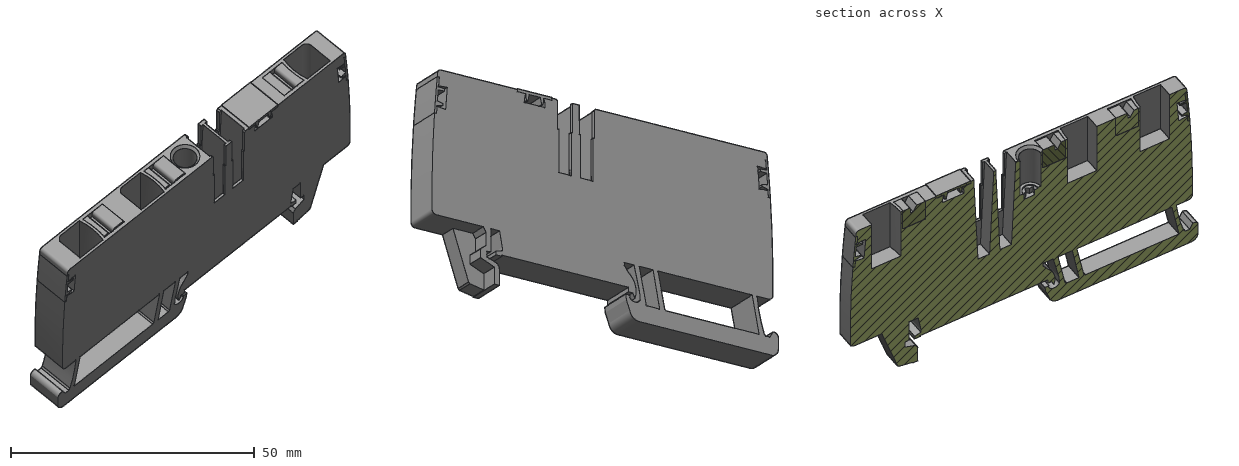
import cadquery as cq
import math


WIDTH = 8.1
HEIGHT = 45.2
MID_Y = 0.7
BLOCK_HALF = 41.4
BLOCK_BOTTOM = 12.4
BLOCK_TOP = 45.0
BULGE_Z = 16.8
END_RADIUS = 272.5
TOP_FILLET = 0.8
BOTTOM_FILLET = 1.0

MARKER_SPAN_TOP = (12.95, 21.3)
MARKER_BASE_Z = 44.5
SIDE_MARKER_Z = (35.1, 43.3)
SIDE_MARKER_THICK = 0.5
LEG_ROOT = SIDE_MARKER_THICK / 2
TOP_LEG = [(2.2, MARKER_BASE_Z), (2.0, 43.0), (1.7, 43.0), (1.35, MARKER_BASE_Z)]
TOP_OPENING_HALF = [(2.2, MARKER_BASE_Z), (2.5, 43.2), (2.5, 42.5)]
SIDE_LEGS = [
    [(41.1, LEG_ROOT), (40.95, 2.0), (40.45, 2.0), (40.4, LEG_ROOT)],
    [(37.9, LEG_ROOT), (37.6, 1.85), (37.2, 1.85), (36.75, LEG_ROOT)],
]
SIDE_OPENING = [(41.3, LEG_ROOT), (41.5, 2.6), (36.4, 2.6), (36.7, LEG_ROOT)]

SLOT_PITCH = 5.3
SLOT_FIRST_Y = 4.45
SLOT_COUNT = 2
SLOT_FLOOR = 28.8
SLOT_STEP_Z = 38.4
SLOT_UPPER = 3.6
SLOT_LOWER = 3.0
SLOT_LEAD_IN = 0.3
JUMPER_FLOOR = 21.9
JUMPER_TOP = 4.7
JUMPER_BOTTOM = 2.7
JUMPER_X = (-3.2, 3.45)

TERMINALS = ((23.9, 1), (-4.5, -1), (-22.1, -1))
LEVER_X = (-3.2, 3.2)
LEVER_GAP = 0.25
LEVER_LENGTH = 5.6
LEVER_DEPTH = 5.05
LEVER_HOLLOW = 0.25
GROOVE_START = 2.1
GROOVE_END = 4.4
GROOVE_FLOOR = 0.5
GROOVE_DEPTH = 1.5
GROOVE_STEP = 0.75
GROOVE_CROWN = 0.21
ENTRY_X = (-3.45, 3.45)
ENTRY_NEAR = 6.4
ENTRY_FAR = 12.95
ENTRY_BULGE = 0.4
ENTRY_DEPTH = 12.6
ENTRY_FILLET = 1.35

SCREW_Y = -1.5
WELL_MOUTH_RADIUS = 3.0
WELL_RADIUS = 2.4
WELL_CHAMFER = 0.6
WELL_DEPTH = 10.1
DRIVE_RIM_RADIUS = 1.8
DRIVE_RIM_DEPTH = 0.25
DRIVE_LOBES = 5
DRIVE_TIP_RADIUS = 1.5
DRIVE_VALLEY_RADIUS = 0.9
DRIVE_DEPTH = 1.7

RAIL_FACE = 7.1
WINDOW_FLOOR = 3.95
WEB_X = (0.0, WIDTH / 2)


def extrude_x(profile, x_range=(-WIDTH / 2, WIDTH / 2)):
    """Extrude a closed YZ profile between two X positions."""
    return profile.extrude(x_range[1] - x_range[0]).translate((x_range[0], 0, 0))


def prism(points, x_range=(-WIDTH / 2, WIDTH / 2)):
    return extrude_x(cq.Workplane("YZ").polyline(points).close(), x_range)


def box(x_range, y_range, z_range):
    size = [high - low for low, high in (x_range, y_range, z_range)]
    return cq.Workplane("XY").box(*size, centered=False).translate((x_range[0], y_range[0], z_range[0]))


def end_half(z):
    """Half length of the block at height z."""
    return BLOCK_HALF - END_RADIUS + math.sqrt(END_RADIUS**2 - (z - BULGE_Z) ** 2)


def end_point(z, side, inset=0.0):
    return (MID_Y + side * (end_half(z) - inset), z)


def top_marker_plate():
    return box((-WIDTH / 2, WIDTH / 2), MARKER_SPAN_TOP, (MARKER_BASE_Z, HEIGHT))


def top_marker():
    middle = sum(MARKER_SPAN_TOP) / 2
    marker = top_marker_plate()
    for side in (-1, 1):
        marker = marker.union(prism([(middle + side * y, z) for y, z in TOP_LEG]))
    return marker


def top_marker_opening():
    middle = sum(MARKER_SPAN_TOP) / 2
    far_side = [(middle + y, z) for y, z in TOP_OPENING_HALF]
    near_side = [(middle - y, z) for y, z in reversed(TOP_OPENING_HALF)]
    return prism(far_side + near_side)


def side_marker_plate(side):
    low, high = SIDE_MARKER_Z
    middle = (low + high) / 2
    return extrude_x(
        cq.Workplane("YZ")
        .moveTo(*end_point(low, side))
        .threePointArc(end_point(middle, side), end_point(high, side))
        .lineTo(*end_point(high, side, SIDE_MARKER_THICK))
        .threePointArc(end_point(middle, side, SIDE_MARKER_THICK), end_point(low, side, SIDE_MARKER_THICK))
        .close()
    )


def side_marker(side):
    marker = side_marker_plate(side)
    for leg in SIDE_LEGS:
        marker = marker.union(prism([end_point(z, side, inset) for z, inset in leg]))
    return marker


def side_marker_opening(side):
    return prism([end_point(z, side, inset) for z, inset in SIDE_OPENING])


def lever_blank(heel, direction):
    """Lever with a plain top and its tip hollowed parallel to the wire entry."""
    tip = heel + direction * LEVER_LENGTH
    left, right = LEVER_X
    return (
        cq.Workplane("XY", origin=(0, 0, BLOCK_TOP - LEVER_DEPTH))
        .moveTo(left, heel)
        .lineTo(right, heel)
        .lineTo(right, tip)
        .threePointArc(((left + right) / 2, tip - direction * LEVER_HOLLOW), (left, tip))
        .close()
        .extrude(LEVER_DEPTH)
    )


def finger_groove(heel, direction):
    """Groove across a lever: a straight wall on its -Y side and a convex, stepped one on its +Y side."""
    middle = heel + direction * (GROOVE_START + GROOVE_END) / 2
    half_mouth = (GROOVE_END - GROOVE_START) / 2
    half_floor = GROOVE_FLOOR / 2
    floor = BLOCK_TOP - GROOVE_DEPTH
    crown_y = middle + (half_mouth + half_floor) / 2 - GROOVE_CROWN
    crown_z = BLOCK_TOP - GROOVE_STEP / 2 + GROOVE_CROWN
    return extrude_x(
        cq.Workplane("YZ")
        .moveTo(middle - half_mouth, BLOCK_TOP)
        .lineTo(middle - half_floor, floor)
        .lineTo(middle + half_floor, floor)
        .lineTo(middle + half_floor, BLOCK_TOP - GROOVE_STEP)
        .threePointArc((crown_y, crown_z), (middle + half_mouth, BLOCK_TOP))
        .close()
    )


def lever(heel, direction):
    body = lever_blank(heel, direction).cut(finger_groove(heel, direction))
    if direction > 0:
        return body
    tip = heel + direction * LEVER_LENGTH
    clearance = box((LEVER_X[1] - LEVER_GAP, LEVER_X[1]), (tip, heel), (BLOCK_TOP - LEVER_DEPTH, BLOCK_TOP))
    return body.cut(clearance)


def wire_entry(heel, direction):
    near = heel + direction * ENTRY_NEAR
    far = heel + direction * ENTRY_FAR
    left, right = ENTRY_X
    pocket = (
        cq.Workplane("XY", origin=(0, 0, BLOCK_TOP - ENTRY_DEPTH))
        .moveTo(left, far)
        .lineTo(right, far)
        .lineTo(right, near)
        .threePointArc(((left + right) / 2, near - direction * ENTRY_BULGE), (left, near))
        .close()
        .extrude(ENTRY_DEPTH)
    )
    far_left = "<X and >Y" if direction > 0 else "<X and <Y"
    return pocket.edges("|Z").edges(far_left).fillet(ENTRY_FILLET)


def block():
    middle = (BLOCK_BOTTOM + BLOCK_TOP) / 2
    blank = extrude_x(
        cq.Workplane("YZ")
        .moveTo(*end_point(BLOCK_BOTTOM, -1))
        .lineTo(*end_point(BLOCK_BOTTOM, 1))
        .threePointArc(end_point(middle, 1), end_point(BLOCK_TOP, 1))
        .lineTo(*end_point(BLOCK_TOP, -1))
        .threePointArc(end_point(middle, -1), end_point(BLOCK_BOTTOM, -1))
        .close()
    )
    blank = blank.faces(">Z").edges("|X").fillet(TOP_FILLET)
    return blank.faces("<Z").edges("|X").fillet(BOTTOM_FILLET)


def rail_seat():
    """Part of the block that rests on the rail, with a lip at each end."""
    return extrude_x(
        cq.Workplane("YZ")
        .moveTo(25.65, BLOCK_BOTTOM)
        .lineTo(25.0, 8.75)
        .lineTo(25.0, 8.1)
        .lineTo(26.5, 7.65)
        .lineTo(26.5, 6.8)
        .lineTo(25.1, 6.8)
        .lineTo(25.1, RAIL_FACE)
        .lineTo(-5.6, RAIL_FACE)
        .lineTo(-5.6, 6.05)
        .lineTo(-6.65, 6.05)
        .lineTo(-7.2, 5.0)
        .lineTo(-7.5, 6.05)
        .threePointArc((-7.1, 8.5), (-5.8, 10.2))
        .lineTo(-4.6, 11.7)
        .lineTo(-4.6, BLOCK_BOTTOM)
        .close()
    )


def clip_foot():
    """Springy clip: a cranked strip across the full width, stiffened by a web."""
    inner = [(27.75, 7.2), (28.8, 7.1), (28.8, 5.8), (26.2, 5.0), (25.65, 4.0), (25.65, 0.2)]
    outer = [(26.9, 0.2), (26.9, 3.95), (30.3, 5.3), (30.3, 7.3), (28.9, 8.3), (28.9, 11.3)]
    strip = prism([(27.75, BLOCK_BOTTOM), *inner, *outer, (29.6, BLOCK_BOTTOM)])
    web_edge = [(29.6, BLOCK_BOTTOM), (34.4, BLOCK_BOTTOM), (30.6, 1.3), (30.3, 0.9), (26.9, 0.3)]
    web = prism([*web_edge, *outer[1:]], WEB_X)
    return strip.union(web)


def carrier_foot():
    """Fixed foot: a hooked beam hung from the block on three leaning ribs."""
    blank = extrude_x(
        cq.Workplane("YZ")
        .moveTo(-7.0, BLOCK_BOTTOM)
        .lineTo(-8.3, 6.65)
        .lineTo(-8.5, 4.9)
        .threePointArc((-7.3, 4.1), (-6.0, 4.9))
        .lineTo(-6.0, 5.4)
        .lineTo(-5.0, 5.4)
        .lineTo(-5.1, 4.1)
        .lineTo(-6.0, 1.9)
        .threePointArc((-6.8, 0.5), (-8.3, 0))
        .lineTo(-40.4, 0)
        .threePointArc((-41.55, 0.5), (-42.05, 1.7))
        .lineTo(-42.05, 4.4)
        .threePointArc((-41.6, 5.05), (-40.7, 5.3))
        .lineTo(-39.95, WINDOW_FLOOR)
        .lineTo(-38.9, WINDOW_FLOOR)
        .lineTo(-38.6, 4.4)
        .threePointArc((-37.5, 8.2), (-36.9, 11.8))
        .lineTo(-36.8, BLOCK_BOTTOM)
        .close()
    )
    small_window = [
        (-8.2, BLOCK_BOTTOM),
        (-11.6, BLOCK_BOTTOM),
        (-13.2, WINDOW_FLOOR),
        (-10.3, WINDOW_FLOOR),
        (-9.9, 4.2),
    ]
    large_window = [
        (-12.8, BLOCK_BOTTOM),
        (-35.7, BLOCK_BOTTOM),
        (-37.3, WINDOW_FLOOR),
        (-14.8, WINDOW_FLOOR),
        (-14.5, 4.2),
    ]
    return blank.cut(prism(small_window)).cut(prism(large_window))


def jumper_slot(center):
    """Stepped slot across the block, with a tapered well between its side rims."""
    upper, lower = SLOT_UPPER / 2, SLOT_LOWER / 2
    half = [(upper, HEIGHT), (upper, SLOT_STEP_Z), (lower, SLOT_STEP_Z), (lower, SLOT_FLOOR)]
    slot = prism([(center + y, z) for y, z in half] + [(center - y, z) for y, z in reversed(half)])
    well = prism(
        [
            (center + JUMPER_TOP / 2, BLOCK_TOP),
            (center + JUMPER_BOTTOM / 2, JUMPER_FLOOR),
            (center - JUMPER_BOTTOM / 2, JUMPER_FLOOR),
            (center - JUMPER_TOP / 2, BLOCK_TOP),
        ],
        JUMPER_X,
    )
    return slot.union(well)


def slot_lead_in(center, side):
    """Bevel at the mouth of a slot on one of its walls."""
    wall = center + side * SLOT_UPPER / 2
    return prism(
        [
            (wall, BLOCK_TOP),
            (wall + side * SLOT_LEAD_IN, BLOCK_TOP),
            (wall, BLOCK_TOP - SLOT_LEAD_IN),
        ]
    )


def screw_well():
    """Countersunk well with a star-shaped drive recess in its floor."""
    floor = BLOCK_TOP - WELL_DEPTH
    bore = cq.Workplane("XY", origin=(0, SCREW_Y, floor)).circle(WELL_RADIUS).extrude(WELL_DEPTH)
    mouth = cq.Solid.makeCone(
        WELL_RADIUS, WELL_MOUTH_RADIUS, WELL_CHAMFER, cq.Vector(0, SCREW_Y, BLOCK_TOP - WELL_CHAMFER)
    )
    rim = cq.Workplane("XY", origin=(0, SCREW_Y, floor - DRIVE_RIM_DEPTH))
    rim = rim.circle(DRIVE_RIM_RADIUS).extrude(DRIVE_RIM_DEPTH)
    star = []
    for corner in range(2 * DRIVE_LOBES):
        radius = DRIVE_VALLEY_RADIUS if corner % 2 else DRIVE_TIP_RADIUS
        angle = math.pi / 2 + corner * math.pi / DRIVE_LOBES
        star.append((radius * math.cos(angle), radius * math.sin(angle)))
    drive = cq.Workplane("XY", origin=(0, SCREW_Y, floor - DRIVE_DEPTH)).polyline(star).close()
    return bore.union(cq.Workplane(mouth)).union(rim).union(drive.extrude(DRIVE_DEPTH))


def build_housing():
    housing = block().union(rail_seat()).union(clip_foot()).union(carrier_foot())
    housing = housing.cut(top_marker_plate()).cut(top_marker_opening())
    for side in (-1, 1):
        housing = housing.cut(side_marker_plate(side)).cut(side_marker_opening(side))
    for index in range(SLOT_COUNT):
        housing = housing.cut(jumper_slot(SLOT_FIRST_Y + index * SLOT_PITCH))
    last_slot_y = SLOT_FIRST_Y + (SLOT_COUNT - 1) * SLOT_PITCH
    housing = housing.cut(slot_lead_in(SLOT_FIRST_Y, -1)).cut(slot_lead_in(last_slot_y, 1))
    for heel, direction in TERMINALS:
        housing = housing.cut(lever_blank(heel, direction)).cut(wire_entry(heel, direction))
    return housing.cut(screw_well())


housing = build_housing()
side_markers = [side_marker(side) for side in (-1, 1)]
levers = [lever(heel, direction) for heel, direction in TERMINALS]

result = cq.Compound.makeCompound(
    [
        housing.val(),
        top_marker().val(),
        *[marker.val() for marker in side_markers],
        *[part.val() for part in levers],
    ]
)